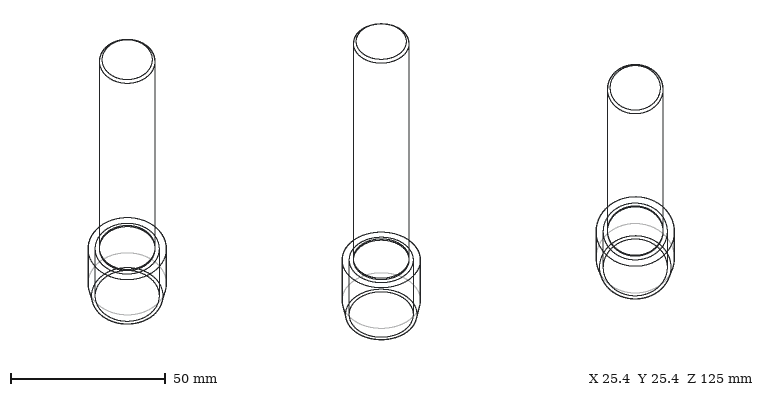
import cadquery as cq

total_height = 125.0
shank_radius = 9.0
shank_chamfer = 0.9
root_radius = 10.4

collar_diameter = 25.4
collar_foot_diameter = 23.1
collar_radius = collar_diameter / 2
collar_foot_radius = collar_foot_diameter / 2
collar_nose_height = 6.4
collar_rim_height = 25.0
collar_crown_height = 25.6

root_height = collar_rim_height


def make_pin():
    """Chamfered shank standing on the wider root."""
    shank = (
        cq.Workplane("XY")
        .circle(shank_radius)
        .extrude(total_height)
        .faces(">Z")
        .chamfer(shank_chamfer)
    )
    root = cq.Workplane("XY").circle(root_radius).extrude(root_height)
    return shank.union(root)


def make_collar():
    """Revolved sleeve with a stepped bore, a tapered lead-in and a shallow conical top."""
    return (
        cq.Workplane("XZ")
        .moveTo(root_radius, 0)
        .lineTo(collar_foot_radius, 0)
        .lineTo(collar_radius, collar_nose_height)
        .lineTo(collar_radius, collar_rim_height)
        .lineTo(shank_radius, collar_crown_height)
        .lineTo(shank_radius, root_height)
        .lineTo(root_radius, root_height)
        .close()
        .revolve(360, (0, 0, 0), (0, 1, 0))
    )


pin = make_pin()
collar = make_collar()

result = cq.Compound.makeCompound([pin.val(), collar.val()])